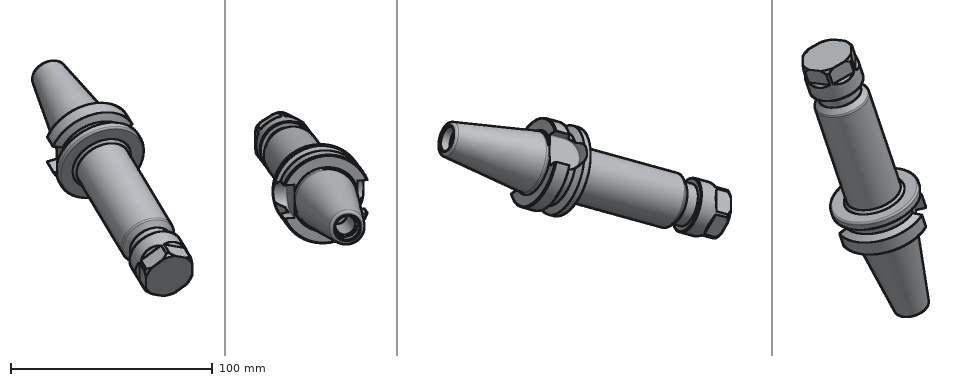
import cadquery as cq
import math


GAUGE_DIAMETER = 31.75
TAPER_RATIO = 7 / 24
SHANK_LENGTH = 48.4
SMALL_END_RADIUS = GAUGE_DIAMETER / 2 - SHANK_LENGTH * TAPER_RATIO / 2
SMALL_END_ROUND = 1.6

NECK_RADIUS = GAUGE_DIAMETER / 2
NECK_ROOT_FILLET = 0.8

FLANGE_DIAMETER = 46.0
FLANGE_START = 2.0
FLANGE_END = 22.0
FLANGE_CHAMFER = 0.5
FLANGE_ROUND = 1.0
GROOVE_DIAMETER = 38.1
GROOVE_CENTRE = 14.0
GROOVE_FLOOR_WIDTH = 3.4
GROOVE_WALL_ANGLE = 30.0

DRIVE_SLOT_WIDTH = 17.2
DRIVE_SLOT_END = 19.4
DRIVE_SLOT_FLOOR = 16.0
DRIVE_SLOT_FILLET = 0.2

BODY_DIAMETER = 28.32
BODY_ROOT_CHAMFER = 1.5
BODY_END = 82.3
BODY_END_ROUND = 1.5
COLLET_NECK_DIAMETER = 22.0

NUT_DIAMETER = 28.0
NUT_START = 91.5
NUT_END = 110.0
NUT_BACK_CHAMFER = 0.5
NUT_FRONT_CHAMFER = 1.8
NUT_FRONT_ANGLE = 30.0
NUT_ACROSS_FLATS = 25.0
FLAT_START = 101.6
FLAT_COUNT = 6

MOUTH_DIAMETER = 13.5
MOUTH_DEPTH = 0.5
PILOT_DIAMETER = 12.5
PILOT_DEPTH = 5.5
THREAD_HOLE_DIAMETER = 10.11
THREAD_HOLE_DEPTH = 24.0


def turned(outline):
    """Revolve a closed (x, radius) outline about the X axis."""
    return outline.close().revolve(360, (0, 0, 0), (1, 0, 0))


def make_shank():
    shank = turned(
        cq.Workplane("XY")
        .moveTo(-SHANK_LENGTH, 0)
        .lineTo(-SHANK_LENGTH, SMALL_END_RADIUS)
        .lineTo(0, NECK_RADIUS)
        .lineTo(FLANGE_START - NECK_ROOT_FILLET, NECK_RADIUS)
        .radiusArc((FLANGE_START, NECK_RADIUS + NECK_ROOT_FILLET), -NECK_ROOT_FILLET)
        .lineTo(FLANGE_START, 0)
    )
    return shank.faces("<X").edges().fillet(SMALL_END_ROUND)


def make_flange():
    flange_radius = FLANGE_DIAMETER / 2
    groove_radius = GROOVE_DIAMETER / 2
    half_floor = GROOVE_FLOOR_WIDTH / 2
    half_mouth = half_floor + (flange_radius - groove_radius) * math.tan(math.radians(GROOVE_WALL_ANGLE))
    flange = turned(
        cq.Workplane("XY")
        .moveTo(FLANGE_START, 0)
        .lineTo(FLANGE_START, flange_radius)
        .lineTo(GROOVE_CENTRE - half_mouth, flange_radius)
        .lineTo(GROOVE_CENTRE - half_floor, groove_radius)
        .lineTo(GROOVE_CENTRE + half_floor, groove_radius)
        .lineTo(GROOVE_CENTRE + half_mouth, flange_radius)
        .lineTo(FLANGE_END, flange_radius)
        .lineTo(FLANGE_END, 0)
    )
    flange = flange.faces("<X").edges().chamfer(FLANGE_CHAMFER)
    return flange.faces(">X").edges().fillet(FLANGE_ROUND)


def make_drive_slot(side):
    """Round-ended slot cutter, open towards the taper; side is -1 for -Y and +1 for +Y.

    It starts at the neck fillet, so the slot floor runs out flat through that fillet.
    """
    half_width = DRIVE_SLOT_WIDTH / 2
    slot_start = FLANGE_START - NECK_ROOT_FILLET
    round_centre = DRIVE_SLOT_END - half_width
    depth = FLANGE_DIAMETER / 2 - DRIVE_SLOT_FLOOR
    slot = (
        cq.Workplane("XZ", origin=(0, side * DRIVE_SLOT_FLOOR, 0))
        .moveTo(slot_start, -half_width)
        .lineTo(round_centre, -half_width)
        .threePointArc((DRIVE_SLOT_END, 0), (round_centre, half_width))
        .lineTo(slot_start, half_width)
        .close()
        .extrude(-side * depth)
    )
    floor = slot.faces("<Y" if side > 0 else ">Y")
    return floor.edges("not <X").fillet(DRIVE_SLOT_FILLET)


def make_body():
    body_radius = BODY_DIAMETER / 2
    neck_radius = COLLET_NECK_DIAMETER / 2
    cone_end = BODY_END + body_radius - neck_radius
    body = turned(
        cq.Workplane("XY")
        .moveTo(FLANGE_END, 0)
        .lineTo(FLANGE_END, body_radius + BODY_ROOT_CHAMFER)
        .lineTo(FLANGE_END + BODY_ROOT_CHAMFER, body_radius)
        .lineTo(BODY_END, body_radius)
        .lineTo(cone_end, neck_radius)
        .lineTo(NUT_START, neck_radius)
        .lineTo(NUT_START, 0)
    )
    body_end_edge = cq.selectors.BoxSelector(
        (BODY_END - BODY_END_ROUND, -body_radius, -body_radius),
        (BODY_END + BODY_END_ROUND, body_radius, body_radius),
        boundingbox=False,
    )
    return body.edges("%CIRCLE").edges(body_end_edge).fillet(BODY_END_ROUND)


def make_flat_cutter():
    """Prism that cuts the top nut flat, with a 45 degree run-out towards the nut collar."""
    flat_height = NUT_ACROSS_FLATS / 2
    top = NUT_DIAMETER / 2
    run_out = top - flat_height
    return (
        cq.Workplane("XZ")
        .moveTo(FLAT_START, flat_height)
        .lineTo(NUT_END, flat_height)
        .lineTo(NUT_END, top)
        .lineTo(FLAT_START - run_out, top)
        .close()
        .extrude(top, both=True)
    )


def make_nut():
    radius = NUT_DIAMETER / 2
    front_drop = NUT_FRONT_CHAMFER * math.tan(math.radians(NUT_FRONT_ANGLE))
    nut = turned(
        cq.Workplane("XY")
        .moveTo(NUT_START, 0)
        .lineTo(NUT_START, radius - NUT_BACK_CHAMFER)
        .lineTo(NUT_START + NUT_BACK_CHAMFER, radius)
        .lineTo(NUT_END - NUT_FRONT_CHAMFER, radius)
        .lineTo(NUT_END, radius - front_drop)
        .lineTo(NUT_END, 0)
    )
    cutter = make_flat_cutter()
    angle_step = 360 / FLAT_COUNT
    for index in range(FLAT_COUNT):
        angle = (index + 0.5) * angle_step
        nut = nut.cut(cutter.rotate((0, 0, 0), (1, 0, 0), angle))
    return nut


def make_pull_stud_hole():
    """Countersunk pilot bore followed by a smaller flat-bottomed thread hole."""
    mouth_x = -SHANK_LENGTH
    pilot_end = mouth_x + PILOT_DEPTH
    hole_end = mouth_x + THREAD_HOLE_DEPTH
    return turned(
        cq.Workplane("XY")
        .moveTo(mouth_x, 0)
        .lineTo(mouth_x, MOUTH_DIAMETER / 2)
        .lineTo(mouth_x + MOUTH_DEPTH, PILOT_DIAMETER / 2)
        .lineTo(pilot_end, PILOT_DIAMETER / 2)
        .lineTo(pilot_end, THREAD_HOLE_DIAMETER / 2)
        .lineTo(hole_end, THREAD_HOLE_DIAMETER / 2)
        .lineTo(hole_end, 0)
    )


result = make_shank().union(make_flange())
for side in (-1, 1):
    result = result.cut(make_drive_slot(side))
result = result.union(make_body()).union(make_nut()).cut(make_pull_stud_hole())